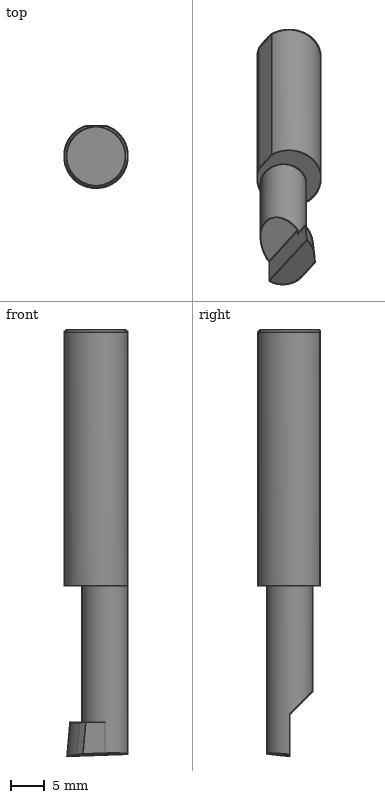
import cadquery as cq
import math

total_length = 63.5
shank_diameter = 9.5
shank_radius = shank_diameter / 2
shank_bottom = 25.4
flat_y = 4.5
end_chamfer = 0.4

neck_diameter = 6.85
neck_radius = neck_diameter / 2
neck_x = shank_radius - neck_radius

relief_top = 6.3

head_top = 5.1
tip_x = -3.9
flank_end_x = -2.5
flank_end_y = -2.55
heel_x = -1.5
flank_bulge = 0.2
flank_lean = 0.45

clearance_angle_y = 5.0
clearance_angle_x = 2.0


def make_shank():
    shank = cq.Workplane("XY").workplane(offset=shank_bottom).circle(shank_radius)
    shank = shank.extrude(total_length - shank_bottom).faces(">Z").chamfer(end_chamfer)
    beyond_flat = (
        cq.Workplane("XY")
        .box(shank_diameter, shank_diameter, total_length, centered=(True, False, False))
        .translate((0, flat_y, 0))
    )
    return shank.cut(beyond_flat)


def make_neck():
    neck = cq.Workplane("XY").center(neck_x, 0).circle(neck_radius).extrude(shank_bottom)
    relief = (
        cq.Workplane("YZ")
        .moveTo(0, 0)
        .lineTo(neck_diameter, 0)
        .lineTo(neck_diameter, relief_top + neck_diameter)
        .lineTo(0, relief_top)
        .close()
        .extrude(shank_diameter, both=True)
    )
    return neck.cut(relief)


def add_head_section(plane, lean):
    """Draw the head outline with its flanks shifted toward -X by lean."""
    chord_x = flank_end_x - tip_x
    chord = math.hypot(chord_x, flank_end_y)
    middle_x = (tip_x + flank_end_x) / 2 + flank_bulge * flank_end_y / chord
    middle_y = flank_end_y / 2 - flank_bulge * chord_x / chord
    return (
        plane.moveTo(neck_x, 0)
        .lineTo(tip_x - lean, 0)
        .threePointArc((middle_x - lean, middle_y), (flank_end_x - lean, flank_end_y))
        .lineTo(heel_x - lean, -neck_radius)
        .lineTo(neck_x, -neck_radius)
        .close()
    )


def make_head():
    bottom = add_head_section(cq.Workplane("XY"), flank_lean)
    top = add_head_section(bottom.workplane(offset=head_top), 0)
    return top.loft(ruled=True)


def make_end_clearance():
    """Block whose upper face passes through the tip and slopes along X and Y."""
    slope_x = math.tan(math.radians(clearance_angle_x))
    slope_y = math.tan(math.radians(clearance_angle_y))
    end_plane = cq.Plane(
        origin=(tip_x - flank_lean, 0, 0),
        xDir=(1, 0, slope_x),
        normal=(-slope_x, slope_y, 1),
    )
    block_size = 3 * shank_diameter
    return cq.Workplane(end_plane).rect(block_size, block_size).extrude(-shank_diameter)


result = make_shank().union(make_neck()).union(make_head()).cut(make_end_clearance())